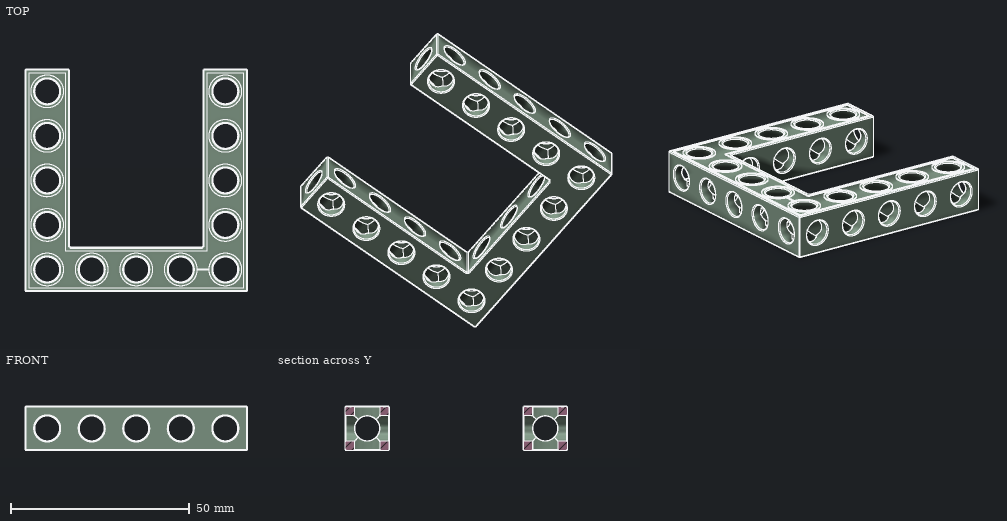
import cadquery as cq

pitch = 12.5
holes_per_side = 5
edge_chamfer = 0.3
hole_diameter = 7.0
rim_diameter = 9.2
panel_depth = 0.2
groove_width = 0.3
groove_depth = 0.2

side = holes_per_side * pitch
half_side = side / 2
half_mouth = half_side - pitch
beam_top = pitch / 2
panel_floor = beam_top - panel_depth
rim_width = (rim_diameter - hole_diameter) / 2 - edge_chamfer
panel_inset = edge_chamfer + rim_width

last_row = half_side - pitch / 2
first_row = -last_row
hole_rows = [first_row + i * pitch for i in range(holes_per_side)]
top_holes = [(x, y) for x in hole_rows for y in hole_rows if abs(x) == last_row or y == first_row]


def u_prism(inset, bottom, top):
    """U-shaped prism, open towards +Y, with its outline moved inwards by inset."""
    outer = half_side - inset
    inner = half_mouth + inset
    base_edge = -half_mouth - inset
    outline = [
        (-outer, -outer),
        (outer, -outer),
        (outer, outer),
        (inner, outer),
        (inner, base_edge),
        (-inner, base_edge),
        (-inner, outer),
        (-outer, outer),
    ]
    return cq.Workplane("XY").workplane(offset=bottom).polyline(outline).close().extrude(top - bottom)


def hole_cutter(start, direction, length):
    """Round cutter that runs from start along direction and flares at both ends."""
    radius = hole_diameter / 2
    mouth_radius = radius + edge_chamfer
    half_profile = [
        (0, 0),
        (mouth_radius, 0),
        (radius, edge_chamfer),
        (radius, length - edge_chamfer),
        (mouth_radius, length),
        (0, length),
    ]
    upright = cq.Workplane("XZ").polyline(half_profile).close().revolve(360, (0, 0), (0, 1))
    placement = cq.Location(cq.Plane(origin=start, normal=direction))
    return cq.Workplane(upright.val().moved(placement))


def vertical_cutters():
    return [hole_cutter((x, y, -beam_top), (0, 0, 1), pitch) for x, y in top_holes]


def y_cutters():
    """Holes along Y: across the base beam, and lengthwise through each arm."""
    cutters = []
    for x in hole_rows:
        length = side if abs(x) == last_row else pitch
        cutters.append(hole_cutter((x, -half_side, 0), (0, 1, 0), length))
    return cutters


def x_cutters():
    """Holes along X: lengthwise through the base beam, and across each arm."""
    cutters = [hole_cutter((-half_side, first_row, 0), (1, 0, 0), side)]
    for y in hole_rows[1:]:
        for arm_start in (-half_side, half_mouth):
            cutters.append(hole_cutter((arm_start, y, 0), (1, 0, 0), pitch))
    return cutters


def top_panel():
    """Material removed from the top face, leaving a border and a ring around each hole."""
    recess = u_prism(panel_inset, panel_floor, beam_top)
    rings = (
        cq.Workplane("XY")
        .workplane(offset=panel_floor)
        .pushPoints(top_holes)
        .circle(rim_diameter / 2)
        .extrude(panel_depth)
    )
    return recess.cut(rings)


def panel_groove():
    """Fine groove between the last two hole rims of the base beam."""
    return (
        cq.Workplane("XY")
        .workplane(offset=panel_floor - groove_depth)
        .center(last_row - pitch / 2, first_row)
        .rect(pitch - rim_diameter, groove_width)
        .extrude(groove_depth)
    )


body = u_prism(0, -beam_top, beam_top).edges().chamfer(edge_chamfer)
for cutter in vertical_cutters() + y_cutters() + x_cutters():
    body = body.cut(cutter)

result = body.cut(top_panel()).cut(panel_groove())